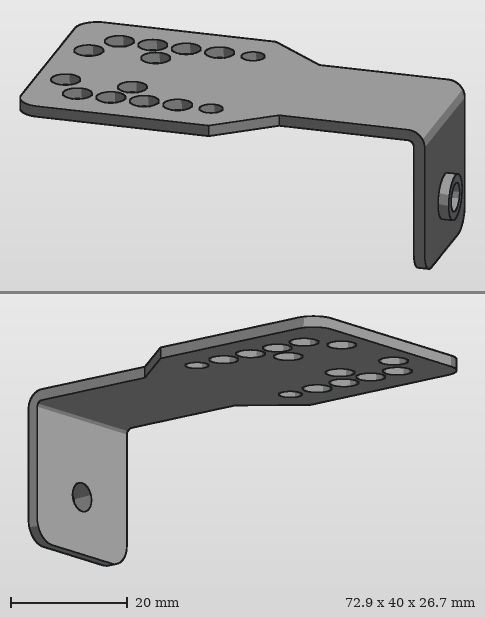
import cadquery as cq

total_length = 72.9
plate_width = 40.0
height = 26.7
thickness = 2.0
corner_radius = 4.0

neck_width = 24.0
inner_bend_radius = 1.0
outer_bend_radius = inner_bend_radius + thickness
boss_length = 1.9
boss_diameter = 8.0
boss_hole_diameter = 5.0
boss_depth = 16.55
flange_face = total_length - boss_length

taper_start = 34.8
taper_end = 45.0

hole_diameter = 5.0
small_hole_diameter = 4.0
row_start = 9.05
row_pitch = 6.0
row_large_count = 4
row_offset = 12.5
inner_hole_positions = (5.25, 17.2)
inner_hole_offset = 6.9


def bent_strip():
    """L-shaped sheet profile at full plate width, with a rounded bend."""
    inner_face = flange_face - thickness
    strip = (
        cq.Workplane("XZ")
        .polyline([
            (0, 0),
            (flange_face, 0),
            (flange_face, -height),
            (inner_face, -height),
            (inner_face, -thickness),
            (0, -thickness),
        ])
        .close()
        .extrude(plate_width / 2, both=True)
    )
    strip = strip.edges(cq.selectors.NearestToPointSelector((flange_face, 0, 0))).fillet(outer_bend_radius)
    inner_corner = cq.selectors.NearestToPointSelector((inner_face, 0, -thickness))
    return strip.edges(inner_corner).fillet(inner_bend_radius)


def plan_outline():
    """Tall block with the tapered outline seen from above."""
    half_plate = plate_width / 2
    half_neck = neck_width / 2
    block = (
        cq.Workplane("XY")
        .polyline([
            (0, -half_plate),
            (taper_start, -half_plate),
            (taper_end, -half_neck),
            (flange_face, -half_neck),
            (flange_face, half_neck),
            (taper_end, half_neck),
            (taper_start, half_plate),
            (0, half_plate),
        ])
        .close()
        .extrude(-height)
    )
    return block.edges("|Z and <X").fillet(corner_radius)


def plate_holes():
    """Cutters for both mirrored sets of plate holes."""
    row_end = row_start + row_large_count * row_pitch
    large_points = []
    small_points = []
    for side in (-1, 1):
        for index in range(row_large_count):
            large_points.append((row_start + index * row_pitch, side * row_offset))
        for x in inner_hole_positions:
            large_points.append((x, side * inner_hole_offset))
        small_points.append((row_end, side * row_offset))
    large = cq.Workplane("XY").pushPoints(large_points).circle(hole_diameter / 2).extrude(-thickness)
    small = cq.Workplane("XY").pushPoints(small_points).circle(small_hole_diameter / 2).extrude(-thickness)
    return large.union(small)


def flange_cylinder(diameter):
    """Cylinder on the boss axis, from the flange's inner face to the boss end."""
    return (
        cq.Workplane("YZ", origin=(flange_face - thickness, 0, -boss_depth))
        .circle(diameter / 2)
        .extrude(thickness + boss_length)
    )


bracket = bent_strip().intersect(plan_outline())
bracket = bracket.edges("|X and <Z").fillet(corner_radius)
bracket = bracket.cut(plate_holes())
bracket = bracket.union(flange_cylinder(boss_diameter))
result = bracket.cut(flange_cylinder(boss_hole_diameter))